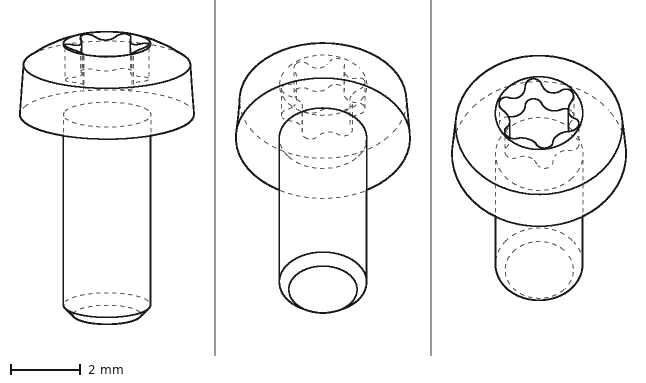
import cadquery as cq
import math

total_height = 8.1
head_height = 2.11
head_radius = 2.5
shank_radius = 1.255
shank_length = total_height - head_height

crown_height = 0.615
crown_base_radius = 2.4
rim_radius = 1.255
crown_base_z = total_height - crown_height

tip_chamfer_height = 0.29
tip_radius = 0.98

lobe_count = 6
recess_depth = 1.05
lobe_tip_radius = 1.21
valley_radius = 0.86
lobe_arc = 0.24
countersink_slope = 19.0


def polar(radius, degrees):
    angle = math.radians(degrees)
    return (radius * math.cos(angle), radius * math.sin(angle))


def crown_midpoint():
    """Point halfway along the crown arc, whose centre lies on the axis."""
    centre_drop = (crown_base_radius**2 + crown_height**2 - rim_radius**2) / (2 * crown_height)
    centre_z = total_height - centre_drop
    sphere_radius = math.hypot(rim_radius, centre_drop)
    middle_radius = (rim_radius + crown_base_radius) / 2
    return (middle_radius, centre_z + math.sqrt(sphere_radius**2 - middle_radius**2))


def screw_body():
    return (
        cq.Workplane("XZ")
        .lineTo(tip_radius, 0)
        .lineTo(shank_radius, tip_chamfer_height)
        .lineTo(shank_radius, shank_length)
        .lineTo(head_radius, shank_length)
        .lineTo(crown_base_radius, crown_base_z)
        .threePointArc(crown_midpoint(), (rim_radius, total_height))
        .lineTo(0, total_height)
        .close()
        .revolve(360, (0, 0), (0, 1))
    )


def drive_recess():
    """Prism of convex lobes joined tangentially by concave valleys."""
    pitch = 360 / lobe_count
    half_pitch = math.radians(pitch / 2)
    lobe_centre = lobe_tip_radius - lobe_arc

    valley_arc = (
        lobe_centre**2 + valley_radius**2 - lobe_arc**2
        - 2 * lobe_centre * valley_radius * math.cos(half_pitch)
    ) / (2 * (lobe_arc - valley_radius + lobe_centre * math.cos(half_pitch)))
    valley_centre = valley_radius + valley_arc

    share = lobe_arc / (lobe_arc + valley_arc)
    along = lobe_centre + share * (valley_centre * math.cos(half_pitch) - lobe_centre)
    across = share * valley_centre * math.sin(half_pitch)
    joint_radius = math.hypot(along, across)
    joint_angle = math.degrees(math.atan2(across, along))

    first_lobe = 90
    outline = cq.Workplane("XY", origin=(0, 0, total_height - recess_depth))
    outline = outline.moveTo(*polar(joint_radius, first_lobe - joint_angle))
    for index in range(lobe_count):
        lobe = first_lobe + index * pitch
        outline = outline.threePointArc(
            polar(lobe_tip_radius, lobe), polar(joint_radius, lobe + joint_angle)
        )
        outline = outline.threePointArc(
            polar(valley_radius, lobe + pitch / 2),
            polar(joint_radius, lobe + pitch - joint_angle),
        )
    return outline.close().extrude(recess_depth)


def countersink():
    """Shallow cone that leads from the rim into the recess."""
    cone_depth = rim_radius * math.tan(math.radians(countersink_slope))
    return (
        cq.Workplane("XZ", origin=(0, 0, total_height))
        .lineTo(rim_radius, 0)
        .lineTo(0, -cone_depth)
        .close()
        .revolve(360, (0, 0), (0, 1))
    )


result = screw_body().cut(drive_recess()).cut(countersink())